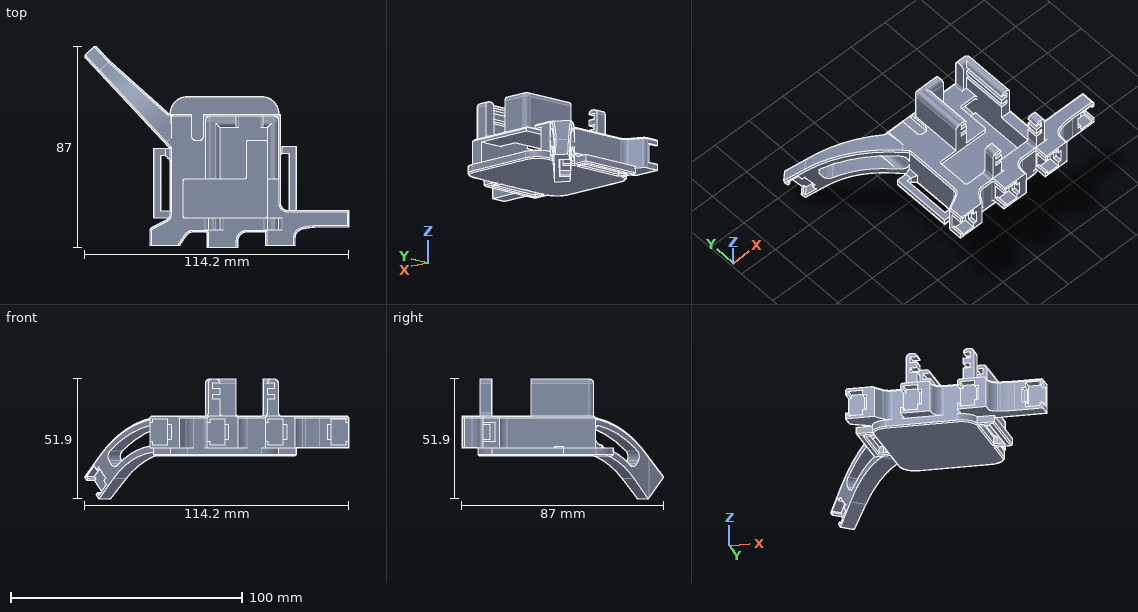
import math

import cadquery as cq

BODY_HEIGHT = 13.7
BASE_BOTTOM = -17.2
TOWER_TOP = 16.1
TOP_BEVEL = 0.7
BASE_BEVEL = 0.6

BODY_RIGHT = 47.75
BODY_BACK = 57.65
FRONT_WALL = 6.8
FINGER_FRONT = 0.9
FINGER_LEFT = (-8.75, 16.0, 41.2)
FINGER_RIGHT = (4.1, 29.3, 54.1)
LEFT_SHOULDER_INNER_Y = 12.8
LEFT_SHOULDER_OUTER_Y = 8.3
LEFT_WEB_X = 8.0
BEAM_END = 77.35
BEAM_FRONT = 8.9
BEAM_ROOT_FRONT = 7.4
BEAM_TAPER_X = 61.5
BEAM_BACK = 16.1

BASE_RIGHT = 47.1
BASE_BACK = 65.3
BASE_CORNER = 7.5
LOOP_BAR = 3.1
LOOP_FRONT = 12.8
LEFT_LOOP = (-7.1, 42.9)
RIGHT_LOOP = (54.6, 43.8)
LEFT_GUSSET = 2.0
RIGHT_GUSSET = 0.7

ROOF = 2.0
CAVITY_LEFT = 5.7
CAVITY_RIGHT = 42.1
CAVITY_FRONT = 12.8
CAVITY_BACK = 46.3
CAVITY_FLOOR = -11.7
WINDOW_STEP_X = 33.0
WINDOW_STEP_Y = 29.7
WINDOW_CORNER = 0.8
SLOT_LEFT = 9.3
SLOT_RIGHT = 14.45
SLOT_CORNER = 2.0

TOWER_LEFT = 15.3
POST_LEFT = 16.6
TOWER_INNER = 21.5
RIGHT_TOWER_OUTER = 46.9
TOWER_FRONT = WINDOW_STEP_Y
TOWER_BACK = 56.85
BACK_WALL = 4.85
BACK_GAP = (28.6, 40.2)
POST_FRONT = 7.6
OUTER_ROUND = 2.0
LIP_ROUND = 1.9
GROOVE_DEPTH = 3.1
GROOVES = ((11.9, 14.4), (7.4, 9.4))
FOOT = 1.5
BACK_FOOT = 0.9

SOCKET_LENGTH = 7.7
SOCKET_HEIGHT = 11.2
SOCKET_DEPTH = 5.2
MOUTH_LENGTH = 1.2
MOUTH_HEIGHT = 8.4
NOTCH_LENGTH = 1.65
NOTCH_HEIGHT = 6.5
NOTCH_DEPTH = 3.2

ARM_ROOT_FRONT = 42.9
ARM_ROOT_BACK = 57.4
ARM_HEADING = math.radians(133)
ARM_FLAT = 3.0
ARM_RADIUS = 61.0
ARM_DROP = math.radians(44)
ARM_ROOT_HEIGHT = 15.4
ARM_TIP_LENGTH = 12.75
ARM_TIP_WIDTH = 6.72
ARM_UPPER_BAND = 3.2
ARM_LOWER_BAND = 2.9
ARM_SLOT_END = math.radians(40.3)
ARM_SLOT_CORNER = 3.0
ARM_SLOT_ROOT_FILLET = 3.6
ARM_SOCKET_DEPTH = 4.5

OVERLAP = 1.0


def box(x0, x1, y0, y1, z0, z1):
    return cq.Workplane("XY").box(x1 - x0, y1 - y0, z1 - z0, centered=False).translate((x0, y0, z0))


def body():
    """Main block with three front fingers and a side beam."""
    outline = [
        (0, BODY_BACK),
        (0, LEFT_SHOULDER_INNER_Y),
        (FINGER_LEFT[0], LEFT_SHOULDER_OUTER_Y),
        (FINGER_LEFT[0], FINGER_FRONT),
        (FINGER_RIGHT[0], FINGER_FRONT),
        (LEFT_WEB_X, FRONT_WALL),
        (FINGER_LEFT[1], FRONT_WALL),
        (FINGER_LEFT[1], 0),
        (FINGER_RIGHT[1], 0),
        (FINGER_RIGHT[1], FRONT_WALL),
        (FINGER_LEFT[2], FRONT_WALL),
        (FINGER_LEFT[2], FINGER_FRONT),
        (FINGER_RIGHT[2], FINGER_FRONT),
        (FINGER_RIGHT[2], BEAM_ROOT_FRONT),
        (BEAM_TAPER_X, BEAM_FRONT),
        (BEAM_END, BEAM_FRONT),
        (BEAM_END, BEAM_BACK),
        (BODY_RIGHT, BEAM_BACK),
        (BODY_RIGHT, BODY_BACK),
    ]
    rounded_corners = (
        (1, 3.0),
        (2, 2.0),
        (5, 4.0),
        (6, 0.8),
        (9, 4.0),
        (13, 4.0),
        (14, 31.0),
        (17, 3.2),
    )
    block = cq.Workplane("XY").polyline(outline).close().extrude(-BODY_HEIGHT)
    for index, radius in rounded_corners:
        x, y = outline[index]
        corner = cq.selectors.NearestToPointSelector((x, y, -BODY_HEIGHT / 2))
        block = block.edges("|Z").edges(corner).fillet(radius)
    rim_start = FINGER_FRONT + TOP_BEVEL
    rim = block.faces(">Z").edges().filter(lambda edge: edge.Center().y > rim_start)
    return rim.chamfer(TOP_BEVEL)


def strap_loop(wall_x, outer_x, back):
    """U-shaped strap bar at base level, reaching from a side wall out to outer_x."""
    side = math.copysign(1, outer_x - wall_x)
    root_x = wall_x - side * OVERLAP
    bar_x = outer_x - side * LOOP_BAR
    points = [
        (root_x, LOOP_FRONT),
        (outer_x, LOOP_FRONT),
        (outer_x, back),
        (root_x, back),
        (root_x, back - LOOP_BAR),
        (bar_x, back - LOOP_BAR),
        (bar_x, LOOP_FRONT + LOOP_BAR),
        (root_x, LOOP_FRONT + LOOP_BAR),
    ]
    return (
        cq.Workplane("XY").workplane(offset=BASE_BOTTOM).polyline(points).close()
        .extrude(-BODY_HEIGHT - BASE_BOTTOM)
    )


def base():
    """Rounded base plate with a strap loop on either side."""
    plate = box(0, BASE_RIGHT, FRONT_WALL, BASE_BACK, BASE_BOTTOM, -BODY_HEIGHT)
    plate = plate.edges("|Z").fillet(BASE_CORNER)
    plate = plate.union(strap_loop(0, *LEFT_LOOP)).union(strap_loop(BASE_RIGHT, *RIGHT_LOOP))
    return plate.faces("<Z").edges().chamfer(BASE_BEVEL)


def loop_gusset(wall_x, side, back, size):
    """Corner brace between the back leg of a strap loop and the side wall that looks toward side * X."""
    leg_front = back - LOOP_BAR
    root_x = wall_x - side * OVERLAP
    tip_x = wall_x + side * size
    plan = [
        (root_x, back),
        (tip_x, back),
        (tip_x, leg_front),
        (wall_x, leg_front - size),
        (root_x, leg_front - size),
    ]
    slope = [
        (root_x, BASE_BOTTOM),
        (tip_x, BASE_BOTTOM),
        (tip_x, -BODY_HEIGHT),
        (wall_x, size - BODY_HEIGHT),
        (root_x, size - BODY_HEIGHT),
    ]
    leg_bottom = BASE_BOTTOM + BASE_BEVEL
    column = (
        cq.Workplane("XY").workplane(offset=leg_bottom).polyline(plan).close()
        .extrude(size - BODY_HEIGHT - leg_bottom)
    )
    wedge = cq.Workplane("XZ", origin=(0, back, 0)).polyline(slope).close().extrude(LOOP_BAR + size)
    return column.intersect(wedge)


def interior():
    """Cavity under the thin roof, open at the back, with an L-shaped window and a roof slot."""
    cavity = box(CAVITY_LEFT, CAVITY_RIGHT, CAVITY_FRONT, CAVITY_BACK, CAVITY_FLOOR, -ROOF)
    rear = box(CAVITY_LEFT, CAVITY_RIGHT, CAVITY_BACK, BODY_BACK + OVERLAP, -BODY_HEIGHT, -ROOF)
    window_points = [
        (CAVITY_LEFT, CAVITY_FRONT),
        (CAVITY_RIGHT, CAVITY_FRONT),
        (CAVITY_RIGHT, CAVITY_BACK),
        (WINDOW_STEP_X, CAVITY_BACK),
        (WINDOW_STEP_X, WINDOW_STEP_Y),
        (CAVITY_LEFT, WINDOW_STEP_Y),
    ]
    window = (
        cq.Workplane("XY").workplane(offset=-ROOF).polyline(window_points).close()
        .extrude(ROOF + OVERLAP).edges("|Z").fillet(WINDOW_CORNER)
    )
    slot = box(SLOT_LEFT, SLOT_RIGHT, CAVITY_BACK, BODY_BACK + OVERLAP, -ROOF - OVERLAP, OVERLAP)
    slot = slot.edges("|Z and <Y").fillet(SLOT_CORNER)
    return cavity.union(rear).union(window).union(slot)


def post(outer_x, inner_x):
    """Upright post with a rounded top, two grooves in its inner face and a flared foot."""
    left, right = sorted((outer_x, inner_x))
    outer_edge, inner_edge, inward = ("<X", ">X", 1) if outer_x < inner_x else (">X", "<X", -1)
    wall = box(left, right, POST_FRONT, CAVITY_FRONT, -OVERLAP, TOWER_TOP)
    wall = wall.faces(">Z").edges(outer_edge).fillet(OUTER_ROUND)
    wall = wall.faces(">Z").edges(inner_edge).fillet(LIP_ROUND)
    wall = wall.cut(wall_grooves(inner_x, -inward, POST_FRONT, CAVITY_FRONT + OVERLAP))
    wall = wall.union(foot_flare(left, -1, POST_FRONT, CAVITY_FRONT, FOOT))
    return wall.union(foot_flare(right, 1, POST_FRONT, CAVITY_FRONT, FOOT))


def foot_flare(x, side, front, back, size):
    """Concave fillet at the foot of a wall face that looks toward side * X."""
    block = box(*sorted((x, x + side * size)), front, back, -TOP_BEVEL, size)
    rounding = (
        cq.Workplane("XZ", origin=(x + side * size, back, size)).circle(size).extrude(back - front)
    )
    return block.cut(rounding)


def wall_grooves(inner_x, side, front, back):
    """Grooves cut into a tower wall or post from its inner face, in the direction side * X."""
    bottom_x = inner_x + side * GROOVE_DEPTH
    left, right = sorted((inner_x - side * OVERLAP, bottom_x))
    upper, lower = (box(left, right, front - OVERLAP, back, low, high) for low, high in GROOVES)
    return upper.union(lower)


def towers():
    """Pair of back corner towers that face each other across a gap."""
    inner_back = TOWER_BACK - BACK_WALL
    hull = box(TOWER_LEFT, RIGHT_TOWER_OUTER, TOWER_FRONT, TOWER_BACK, -OVERLAP, TOWER_TOP)
    hull = hull.edges("|Z and >Y").fillet(OUTER_ROUND)
    hull = hull.faces(">Z").edges("not <Y").fillet(OUTER_ROUND)
    above = TOWER_TOP + OVERLAP
    room = box(TOWER_INNER, CAVITY_RIGHT, TOWER_FRONT - OVERLAP, inner_back, -2 * OVERLAP, above)
    pair = hull.cut(room)
    lip = cq.selectors.BoxSelector(
        (TOWER_INNER - LIP_ROUND, TOWER_FRONT + OVERLAP, TOWER_TOP - LIP_ROUND),
        (CAVITY_RIGHT + LIP_ROUND, inner_back + OVERLAP, TOWER_TOP + LIP_ROUND),
    )
    pair = pair.faces(">Z").edges(lip).fillet(LIP_ROUND)
    pair = pair.cut(box(*BACK_GAP, inner_back - OVERLAP, TOWER_BACK + OVERLAP, -OVERLAP, above))
    pair = pair.cut(wall_grooves(TOWER_INNER, -1, TOWER_FRONT, inner_back))
    pair = pair.cut(wall_grooves(CAVITY_RIGHT, 1, TOWER_FRONT, inner_back))
    pair = pair.union(foot_flare(BACK_GAP[0], 1, inner_back, TOWER_BACK, BACK_FOOT))
    return pair.union(foot_flare(BACK_GAP[1], -1, inner_back, TOWER_BACK, BACK_FOOT))


def socket(origin, inward, into, depth):
    """Connector recess: a lipped mouth at the open end, a chamber and a shallow end notch."""
    plane = cq.Plane(origin=origin, xDir=inward, normal=into)

    def recess(start, end, height, deep):
        return (
            cq.Workplane(plane).center((start + end) / 2, 0).rect(end - start, height)
            .extrude(deep + OVERLAP).translate(plane.zDir * -OVERLAP)
        )

    notch_end = SOCKET_LENGTH + NOTCH_LENGTH
    chamber = recess(MOUTH_LENGTH, SOCKET_LENGTH, SOCKET_HEIGHT, depth)
    mouth = recess(-OVERLAP, MOUTH_LENGTH, MOUTH_HEIGHT, depth)
    notch = recess(SOCKET_LENGTH, notch_end, NOTCH_HEIGHT, NOTCH_DEPTH)
    return chamber.union(mouth).union(notch)


def front_sockets():
    """Sockets of the three fingers, open to the left, and of the beam, open to the right."""
    middle = -BODY_HEIGHT / 2
    fronts = (FINGER_FRONT, 0, FINGER_FRONT)
    cutter = socket((BEAM_END, BEAM_FRONT, middle), (-1, 0, 0), (0, 1, 0), SOCKET_DEPTH)
    for left, front in zip(FINGER_LEFT, fronts):
        cutter = cutter.union(socket((left, front, middle), (1, 0, 0), (0, 1, 0), SOCKET_DEPTH))
    return cutter


def arm_plane():
    """Vertical plane of the near arm side: local x runs outward along the arm, local y is up."""
    heading = cq.Vector(math.cos(ARM_HEADING), math.sin(ARM_HEADING), 0)
    return cq.Plane(origin=(0, ARM_ROOT_FRONT, 0), xDir=heading, normal=heading.cross(cq.Vector(0, 0, 1)))


def top_arc(radius, angle):
    """Local point on an arc concentric with the arm's top, at an angle past its crest."""
    return (ARM_FLAT + radius * math.sin(angle), radius * math.cos(angle) - ARM_RADIUS)


def bottom_arc(raise_by, angle):
    """Local point on the arm's bottom arc, raised by a band thickness, at an angle past its crest."""
    end_x, end_z = top_arc(ARM_RADIUS - BODY_HEIGHT, ARM_DROP)
    radius = (-ARM_ROOT_HEIGHT - end_z) / (1 - math.cos(ARM_DROP))
    crest_x = end_x - radius * math.sin(ARM_DROP)
    centre_z = -ARM_ROOT_HEIGHT - radius
    reach = radius + raise_by
    return (crest_x + reach * math.sin(angle), centre_z + reach * math.cos(angle))


def arm_tip(radius):
    """Local tip point of the straight end that continues the arc of the given radius."""
    x, z = top_arc(radius, ARM_DROP)
    return (x + ARM_TIP_LENGTH * math.cos(ARM_DROP), z - ARM_TIP_LENGTH * math.sin(ARM_DROP))


def arm_profile(plane, depth):
    """Bent bar that ends in a straight tip as high as the body."""
    root = -ARM_FLAT
    return (
        cq.Workplane(plane)
        .moveTo(root, 0)
        .lineTo(ARM_FLAT, 0)
        .threePointArc(top_arc(ARM_RADIUS, ARM_DROP / 2), top_arc(ARM_RADIUS, ARM_DROP))
        .lineTo(*arm_tip(ARM_RADIUS))
        .lineTo(*arm_tip(ARM_RADIUS - BODY_HEIGHT))
        .lineTo(*bottom_arc(0, ARM_DROP))
        .threePointArc(bottom_arc(0, ARM_DROP / 2), bottom_arc(0, 0))
        .lineTo(root, -ARM_ROOT_HEIGHT)
        .close()
        .extrude(depth)
    )


def arm_slot(plane, depth):
    """Curved window that splits the arm into an upper and a lower band."""
    roof = ARM_RADIUS - ARM_UPPER_BAND
    floor_level = ARM_LOWER_BAND - ARM_ROOT_HEIGHT
    root = -4 * ARM_FLAT
    end_points = (top_arc(roof, ARM_SLOT_END), bottom_arc(ARM_LOWER_BAND, ARM_SLOT_END))
    slot = (
        cq.Workplane(plane)
        .moveTo(root, -ARM_UPPER_BAND)
        .lineTo(ARM_FLAT, -ARM_UPPER_BAND)
        .threePointArc(top_arc(roof, ARM_SLOT_END / 2), end_points[0])
        .lineTo(*end_points[1])
        .threePointArc(bottom_arc(ARM_LOWER_BAND, ARM_SLOT_END / 2), bottom_arc(ARM_LOWER_BAND, 0))
        .lineTo(root, floor_level)
        .close()
        .extrude(depth)
        .translate(plane.zDir * -OVERLAP)
    )
    for x, z in end_points:
        corner = plane.toWorldCoords((x, z, depth / 2 - OVERLAP)).toTuple()
        slot = slot.edges(cq.selectors.NearestToPointSelector(corner)).fillet(ARM_SLOT_CORNER)
    reach = 100.0
    limit = box(-reach, 0, 0, reach, floor_level, -ARM_UPPER_BAND)
    limit = limit.edges("|Y and >X").fillet(ARM_SLOT_ROOT_FILLET)
    below = box(-reach, -ARM_SLOT_ROOT_FILLET, 0, reach, -reach, OVERLAP)
    return slot.intersect(limit.union(below))


def arm():
    """Tapering arm that leaves the left wall, bends down and ends in a socket."""
    plane = arm_plane()
    depth = 2 * BODY_HEIGHT
    tip_start = top_arc(ARM_RADIUS, ARM_DROP)[0]
    tip_end = arm_tip(ARM_RADIUS)[0] + OVERLAP
    far_start = plane.toWorldCoords((tip_start, 0, ARM_TIP_WIDTH))
    far_end = plane.toWorldCoords((tip_end, 0, ARM_TIP_WIDTH))
    near_end = plane.toWorldCoords((tip_end, 0, 0))
    plan = [
        (OVERLAP, ARM_ROOT_FRONT),
        (OVERLAP, ARM_ROOT_BACK),
        (0, ARM_ROOT_BACK),
        (far_start.x, far_start.y),
        (far_end.x, far_end.y),
        (near_end.x, near_end.y),
        (0, ARM_ROOT_FRONT),
    ]
    tall = 4 * BODY_HEIGHT
    footprint = cq.Workplane("XY").workplane(offset=-tall).polyline(plan).close().extrude(tall + OVERLAP)
    bar = arm_profile(plane, depth)
    near_crest = plane.toWorldCoords((*top_arc(ARM_RADIUS, ARM_DROP / 2), 0))
    bar = bar.edges(cq.selectors.NearestToPointSelector(near_crest.toTuple())).chamfer(TOP_BEVEL)
    bar = bar.intersect(footprint)
    crest_to_side = ARM_TIP_WIDTH + TOP_BEVEL
    far_crest = plane.toWorldCoords((*top_arc(ARM_RADIUS, ARM_DROP / 2), crest_to_side))
    straight_start = top_arc(ARM_RADIUS, ARM_DROP)
    straight_end = arm_tip(ARM_RADIUS)
    straight_middle = [(start + end) / 2 for start, end in zip(straight_start, straight_end)]
    far_straight = plane.toWorldCoords((*straight_middle, ARM_TIP_WIDTH))
    curved_edge = cq.selectors.NearestToPointSelector(far_crest.toTuple())
    straight_edge = cq.selectors.NearestToPointSelector(far_straight.toTuple())
    bar = bar.edges(curved_edge + straight_edge).chamfer(TOP_BEVEL)
    bar = bar.cut(arm_slot(plane, depth))
    outer_tip = arm_tip(ARM_RADIUS)
    inner_tip = arm_tip(ARM_RADIUS - BODY_HEIGHT)
    tip_middle = ((outer_tip[0] + inner_tip[0]) / 2, (outer_tip[1] + inner_tip[1]) / 2, 0)
    origin = plane.toWorldCoords(tip_middle)
    inward = plane.toWorldCoords((-math.cos(ARM_DROP), math.sin(ARM_DROP), 0)) - plane.origin
    return bar.cut(socket(origin, inward, plane.zDir, ARM_SOCKET_DEPTH))


result = body().cut(interior()).union(base())
result = result.union(loop_gusset(0, -1, LEFT_LOOP[1], LEFT_GUSSET))
result = result.union(loop_gusset(BODY_RIGHT, 1, RIGHT_LOOP[1], RIGHT_GUSSET))
result = result.union(towers())
result = result.union(post(POST_LEFT, TOWER_INNER)).union(post(RIGHT_TOWER_OUTER, CAVITY_RIGHT))
result = result.cut(front_sockets()).union(arm())